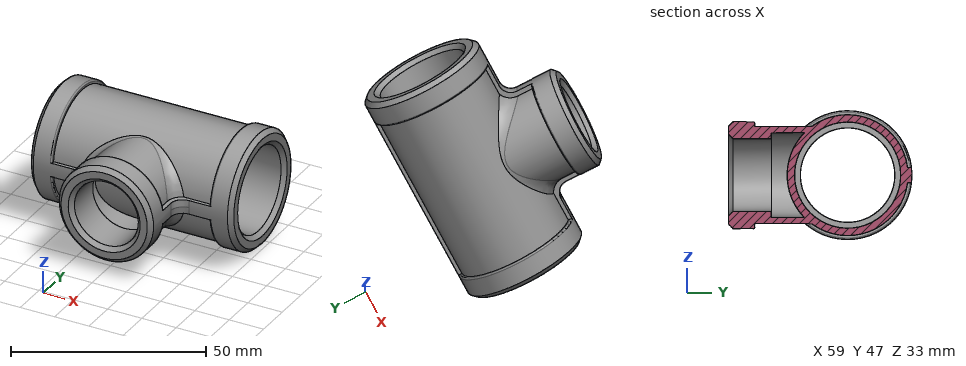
import cadquery as cq

run_length = 59.0
branch_reach = 30.5

run_collar_diameter = 33.0
run_body_diameter = 31.0
run_bore_diameter = 24.12
run_mouth_diameter = 26.44
run_cavity_diameter = 27.1

branch_collar_diameter = 27.5
branch_body_diameter = 25.0
branch_bore_diameter = 18.63
branch_mouth_diameter = 20.96
branch_cavity_diameter = 21.6

run_collar_width = 6.5
branch_collar_width = 6.75
collar_chamfer = 1.2
collar_round = 0.4
run_thread_depth = 12.0
branch_thread_depth = 11.0

core_undercut = 0.7
blend_core_diameter = run_body_diameter - core_undercut
blend_radius = 4.4

rib_width = 4.0
rib_corner_radius = 3.4

selection_margin = 1.0

run_left_end = cq.Plane(origin=(-run_length / 2, 0, 0), xDir=(0, 1, 0), normal=(1, 0, 0))
run_right_end = cq.Plane(origin=(run_length / 2, 0, 0), xDir=(0, 1, 0), normal=(-1, 0, 0))
branch_end = cq.Plane(origin=(0, -branch_reach, 0), xDir=(1, 0, 0), normal=(0, 1, 0))


def cylinder(plane, diameter, length, start=0.0):
    return cq.Workplane(plane).workplane(offset=start).circle(diameter / 2).extrude(length)


def run_cylinder(diameter):
    """Cylinder along the run, ending inside its two collars."""
    return cylinder(run_left_end, diameter, run_length - run_collar_width, run_collar_width / 2)


def blended_tee(run_diameter, branch_diameter, radius):
    """Solid run and branch cylinders with a fillet where they meet."""
    start = branch_collar_width / 2
    branch = cylinder(branch_end, branch_diameter, branch_reach - start, start)
    tee = run_cylinder(run_diameter).union(branch)
    box_half = branch_diameter / 2 + selection_margin
    junction = cq.selectors.BoxSelector(
        (-box_half, -run_diameter / 2 - selection_margin, -box_half),
        (box_half, -selection_margin, box_half),
        boundingbox=True,
    )
    return tee.edges(junction).fillet(radius)


def make_body():
    blend = blended_tee(blend_core_diameter, branch_body_diameter, blend_radius)
    return run_cylinder(run_body_diameter).union(blend)


def make_rib():
    """Web on the mid plane whose rim lies flush with the collars."""
    outline = blended_tee(run_collar_diameter, branch_collar_diameter, rib_corner_radius)
    slab = cq.Workplane("XY").box(2 * run_length, 4 * branch_reach, rib_width)
    return outline.intersect(slab)


def make_collar(plane, diameter, width):
    """End collar, chamfered at the open end and rounded at the inner end."""
    collar = cylinder(plane, diameter, width)
    outer_end = cq.NearestToPointSelector(plane.origin.toTuple())
    inner_end = cq.NearestToPointSelector((plane.origin + plane.zDir * width).toTuple())
    collar = collar.faces(outer_end).edges().chamfer(collar_chamfer)
    return collar.faces(inner_end).edges().fillet(collar_round)


def make_bore(plane, bore_diameter, mouth_diameter, depth):
    """Threaded socket: a straight bore with a 45 degree lead-in at the mouth."""
    lead_in = (mouth_diameter - bore_diameter) / 2
    bore = cylinder(plane, bore_diameter, depth)
    cone = cq.Solid.makeCone(mouth_diameter / 2, bore_diameter / 2, lead_in, plane.origin, plane.zDir)
    return bore.union(cq.Workplane(cone))


def make_run_hollow():
    cavity_length = run_length - 2 * run_thread_depth
    hollow = cylinder(run_left_end, run_cavity_diameter, cavity_length, run_thread_depth)
    for end in (run_left_end, run_right_end):
        bore = make_bore(end, run_bore_diameter, run_mouth_diameter, run_thread_depth)
        hollow = hollow.union(bore)
    return hollow


def make_branch_hollow():
    """Blind socket that stops on the outside of the run's wall."""
    cavity_length = branch_reach - branch_thread_depth
    cavity = cylinder(branch_end, branch_cavity_diameter, cavity_length, branch_thread_depth)
    bore = make_bore(branch_end, branch_bore_diameter, branch_mouth_diameter, branch_thread_depth)
    return cavity.union(bore).cut(run_cylinder(run_body_diameter))


tee = make_body().union(make_rib())
tee = tee.union(make_collar(run_left_end, run_collar_diameter, run_collar_width))
tee = tee.union(make_collar(run_right_end, run_collar_diameter, run_collar_width))
tee = tee.union(make_collar(branch_end, branch_collar_diameter, branch_collar_width))

result = tee.cut(make_run_hollow()).cut(make_branch_hollow())